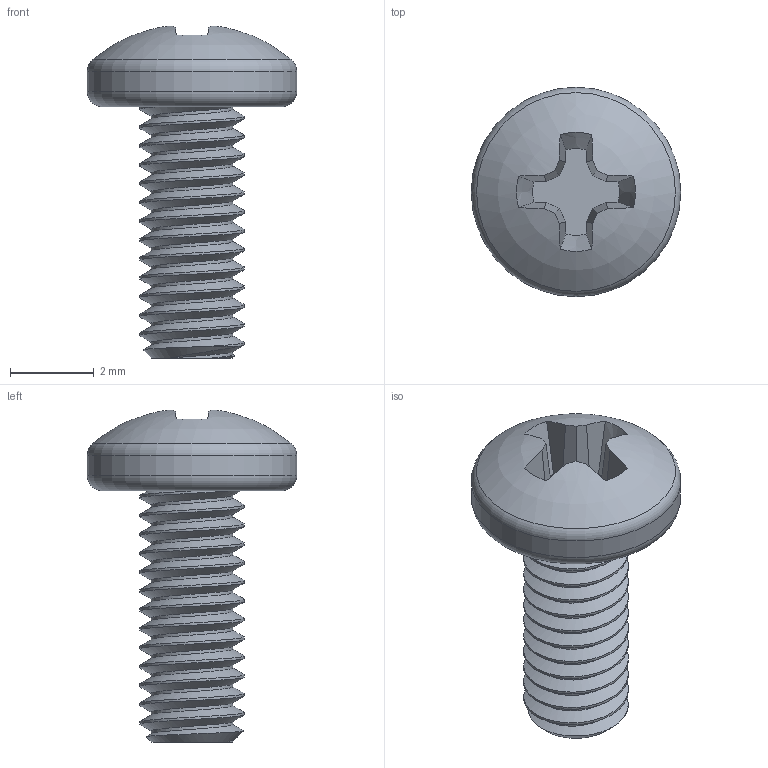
import cadquery as cq
import math

HEAD_RADIUS = 2.5
HEAD_EDGE_RADIUS = 0.363
RIM_TOP_Z = 0.845
DOME_RADIUS = 3.65

SHANK_LENGTH = 6.0
THREAD_RADIUS = 1.25
PITCH = 0.45
TRIANGLE_HEIGHT = PITCH * math.sqrt(3) / 2
THREAD_DEPTH = TRIANGLE_HEIGHT * 17 / 24
ROOT_RADIUS = THREAD_RADIUS - THREAD_DEPTH
CREST_WIDTH = PITCH / 8
FLANK_SLOPE = math.tan(math.radians(30))
CREST_Z_ON_X_AXIS = -0.26
RIDGE_EMBED = 0.04

RECESS_FLOOR_Z = 0.40
ARM_FLOOR_HALF_WIDTH = 0.25
ARM_FLOOR_REACH = 1.035
ARM_TOP_REACH = 1.42
CORNER_START = 0.72
CORNER_RIDGE = 0.395
ARM_SIDE_DRAFT = 5.6
RECESS_CUT_HEIGHT = 2.0


def arc_point(center, radius, angle):
    """Point of a circle in the radius-height plane, angle in radians."""
    return (center[0] + radius * math.cos(angle), center[1] + radius * math.sin(angle))


TOP_ROUND_CENTER = (HEAD_RADIUS - HEAD_EDGE_RADIUS, RIM_TOP_Z)
TANGENT_ANGLE = math.acos(TOP_ROUND_CENTER[0] / (DOME_RADIUS - HEAD_EDGE_RADIUS))
DOME_CENTER = (0, RIM_TOP_Z - TOP_ROUND_CENTER[0] * math.tan(TANGENT_ANGLE))


def dome_height(radius):
    """Height of the dome surface at a distance from the axis."""
    return DOME_CENTER[1] + math.sqrt(DOME_RADIUS**2 - radius**2)


def make_head():
    bottom_center = (HEAD_RADIUS - HEAD_EDGE_RADIUS, HEAD_EDGE_RADIUS)
    dome_mid_angle = (TANGENT_ANGLE + math.pi / 2) / 2
    return (
        cq.Workplane("YZ")
        .lineTo(bottom_center[0], 0)
        .threePointArc(
            arc_point(bottom_center, HEAD_EDGE_RADIUS, -math.pi / 4),
            (HEAD_RADIUS, HEAD_EDGE_RADIUS),
        )
        .lineTo(HEAD_RADIUS, RIM_TOP_Z)
        .threePointArc(
            arc_point(TOP_ROUND_CENTER, HEAD_EDGE_RADIUS, TANGENT_ANGLE / 2),
            arc_point(TOP_ROUND_CENTER, HEAD_EDGE_RADIUS, TANGENT_ANGLE),
        )
        .threePointArc(
            arc_point(DOME_CENTER, DOME_RADIUS, dome_mid_angle),
            (0, dome_height(0)),
        )
        .close()
        .revolve(360, (0, 0, 0), (0, 1, 0))
    )


def make_recess():
    """Drafted cross, each inner corner two flat facets; the arm ends lie on a cone."""
    arm_length = HEAD_RADIUS
    floor = cq.Workplane("XY").workplane(offset=RECESS_FLOOR_Z)
    quarter = [
        (arm_length, -ARM_FLOOR_HALF_WIDTH),
        (arm_length, ARM_FLOOR_HALF_WIDTH),
        (CORNER_START, ARM_FLOOR_HALF_WIDTH),
        (CORNER_RIDGE, CORNER_RIDGE),
        (ARM_FLOOR_HALF_WIDTH, CORNER_START),
    ]
    outline = []
    cosine, sine = 1, 0
    for _ in range(4):
        outline += [(x * cosine - y * sine, x * sine + y * cosine) for x, y in quarter]
        cosine, sine = -sine, cosine
    cross = floor.polyline(outline).close().extrude(RECESS_CUT_HEIGHT, taper=-ARM_SIDE_DRAFT)

    end_slope = (ARM_TOP_REACH - ARM_FLOOR_REACH) / (dome_height(ARM_TOP_REACH) - RECESS_FLOOR_Z)
    end_draft = math.degrees(math.atan(end_slope))
    end_cone = floor.circle(ARM_FLOOR_REACH).extrude(RECESS_CUT_HEIGHT, taper=-end_draft)
    return cross.intersect(end_cone)


def make_thread_ridge():
    """Right-hand helical ridge that runs past both ends of the shank."""
    turns_above = 1
    turns_below = math.ceil(SHANK_LENGTH / PITCH) + 1
    start_z = CREST_Z_ON_X_AXIS - turns_below * PITCH
    height = (turns_above + turns_below) * PITCH
    base_radius = ROOT_RADIUS - RIDGE_EMBED
    half_crest = CREST_WIDTH / 2
    half_base = half_crest + (THREAD_RADIUS - base_radius) * FLANK_SLOPE
    helix = cq.Wire.makeHelix(PITCH, height, THREAD_RADIUS, center=cq.Vector(0, 0, start_z))
    return (
        cq.Workplane("XZ")
        .polyline(
            [
                (base_radius, start_z - half_base),
                (THREAD_RADIUS, start_z - half_crest),
                (THREAD_RADIUS, start_z + half_crest),
                (base_radius, start_z + half_base),
            ]
        )
        .close()
        .sweep(cq.Workplane(helix), isFrenet=True)
    )


def make_shank():
    overlap = HEAD_EDGE_RADIUS / 2
    core = (
        cq.Workplane("XY")
        .workplane(offset=overlap)
        .circle(ROOT_RADIUS)
        .extrude(-SHANK_LENGTH - overlap)
    )
    clear_radius = THREAD_RADIUS + THREAD_DEPTH
    envelope = (
        cq.Workplane("XZ")
        .polyline(
            [
                (0, -SHANK_LENGTH),
                (ROOT_RADIUS, -SHANK_LENGTH),
                (clear_radius, -SHANK_LENGTH + clear_radius - ROOT_RADIUS),
                (clear_radius, overlap),
                (0, overlap),
            ]
        )
        .close()
        .revolve(360, (0, 0, 0), (0, 1, 0))
    )
    return core.union(make_thread_ridge().intersect(envelope))


result = make_head().union(make_shank()).cut(make_recess())